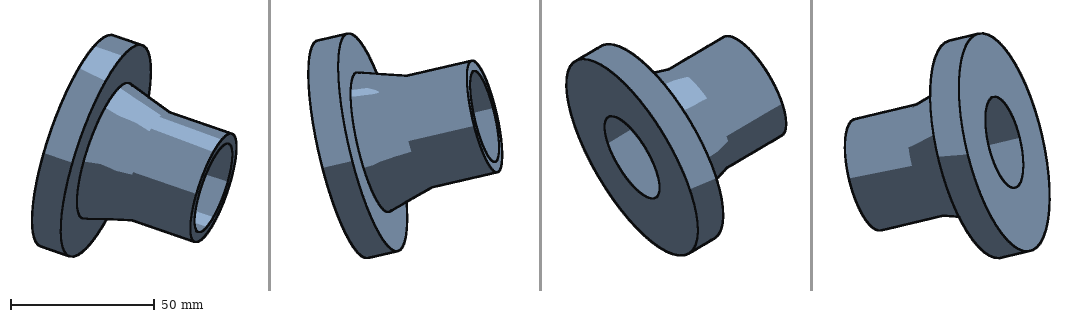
import cadquery as cq

flange_diameter = 78.0
flange_thickness = 11.0
hub_base_diameter = 50.0
hub_length = 17.0
pipe_diameter = 40.0
pipe_length = 24.0
bore_diameter = 32.6

flange_radius = flange_diameter / 2
hub_base_radius = hub_base_diameter / 2
pipe_radius = pipe_diameter / 2
bore_radius = bore_diameter / 2

hub_start = flange_thickness
hub_end = hub_start + hub_length
pipe_end = hub_end + pipe_length

half_section = (
    cq.Workplane("XZ")
    .moveTo(0, bore_radius)
    .lineTo(0, flange_radius)
    .lineTo(hub_start, flange_radius)
    .lineTo(hub_start, hub_base_radius)
    .lineTo(hub_end, pipe_radius)
    .lineTo(pipe_end, pipe_radius)
    .lineTo(pipe_end, bore_radius)
    .close()
)

result = half_section.revolve(360, (0, 0, 0), (1, 0, 0))